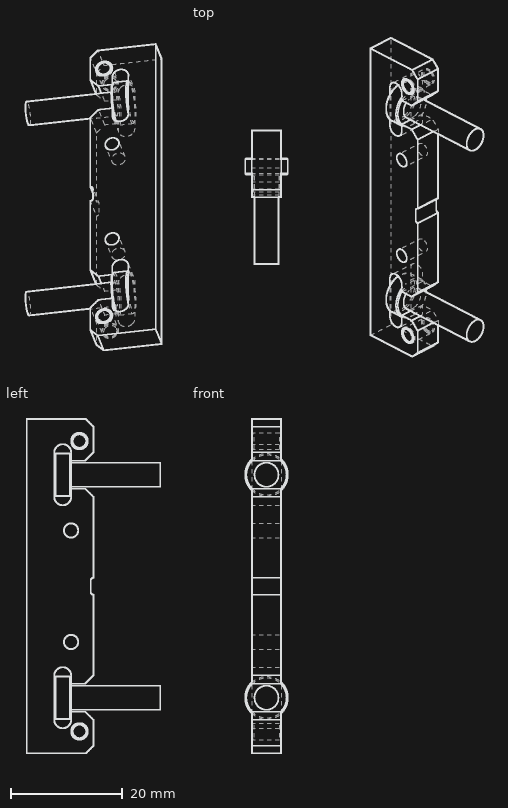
import cadquery as cq

plate_length = 60.0
plate_depth = 12.0
plate_thickness = 5.2
corner_chamfer = 1.4

screw_z = plate_length / 3
slot_front = 4.0
slot_width = 3.0
slot_length = 10.9
neck_width = 5.0
neck_chamfer = 1.5

cross_hole_diameter = 2.5
cross_hole_y = 4.0
cross_hole_z = plate_length / 6

groove_width = 3.0
groove_depth = 0.5
groove_fillet = groove_depth

head_diameter = 7.7
head_thickness = slot_width
head_chamfer = 0.25
shank_diameter = 4.3
shank_end_y = plate_depth - 24.0

pin_diameter = 3.0
pin_chamfer = 0.3
pin_y = 2.5
pin_z = 26.05

SIDES = (-1, 1)


def cross_cylinder(diameter, y, z):
    """Cylinder along X through the full plate thickness."""
    return (
        cq.Workplane("YZ", origin=(0, y, z))
        .circle(diameter / 2)
        .extrude(plate_thickness / 2, both=True)
    )


def make_t_slot(z):
    """Cutter for the head slot and the chamfer-mouthed neck leading to it."""
    head_slot = (
        cq.Workplane("YZ", origin=(0, slot_front + slot_width / 2, z))
        .slot2D(slot_length, slot_width, 90)
        .extrude(plate_thickness / 2, both=True)
    )
    half_neck = neck_width / 2
    half_mouth = half_neck + neck_chamfer
    neck_end = slot_front + slot_width / 2
    neck = (
        cq.Workplane("YZ", origin=(0, 0, z))
        .polyline([
            (0, -half_mouth),
            (neck_chamfer, -half_neck),
            (neck_end, -half_neck),
            (neck_end, half_neck),
            (neck_chamfer, half_neck),
            (0, half_mouth),
        ])
        .close()
        .extrude(plate_thickness / 2, both=True)
    )
    return head_slot.union(neck)


def make_groove():
    """Cutter for the groove, whose walls curve into its floor."""
    half_width = groove_width / 2
    half_floor = half_width - groove_fillet
    return (
        cq.Workplane("YZ")
        .moveTo(0, -half_width)
        .radiusArc((groove_depth, -half_floor), -groove_fillet)
        .lineTo(groove_depth, half_floor)
        .radiusArc((0, half_width), -groove_fillet)
        .close()
        .extrude(plate_thickness / 2, both=True)
    )


def make_plate():
    plate = (
        cq.Workplane("XY")
        .box(plate_thickness, plate_depth, plate_length)
        .translate((0, plate_depth / 2, 0))
        .faces("<Y")
        .edges("|X")
        .chamfer(corner_chamfer)
        .cut(make_groove())
    )
    for side in SIDES:
        plate = plate.cut(make_t_slot(side * screw_z))
        plate = plate.cut(cross_cylinder(cross_hole_diameter, cross_hole_y, side * cross_hole_z))
        plate = plate.cut(cross_cylinder(pin_diameter, pin_y, side * pin_z))
    return plate


def make_screw(z):
    """Chamfered disc head in the slot, with its shank reaching out toward -Y."""
    head = (
        cq.Workplane("XZ", origin=(0, slot_front + head_thickness, z))
        .circle(head_diameter / 2)
        .extrude(head_thickness)
        .edges()
        .chamfer(head_chamfer)
    )
    shank = (
        cq.Workplane("XZ", origin=(0, slot_front, z))
        .circle(shank_diameter / 2)
        .extrude(slot_front - shank_end_y)
    )
    return head.union(shank)


def make_pin(z):
    """Dowel pin with both ends chamfered."""
    return cross_cylinder(pin_diameter, pin_y, z).faces("<X or >X").chamfer(pin_chamfer)


plate = make_plate()
screws = [make_screw(side * screw_z) for side in SIDES]
pins = [make_pin(side * pin_z) for side in SIDES]

result = cq.Compound.makeCompound([
    plate.val(),
    *[screw.val() for screw in screws],
    *[pin.val() for pin in pins],
])